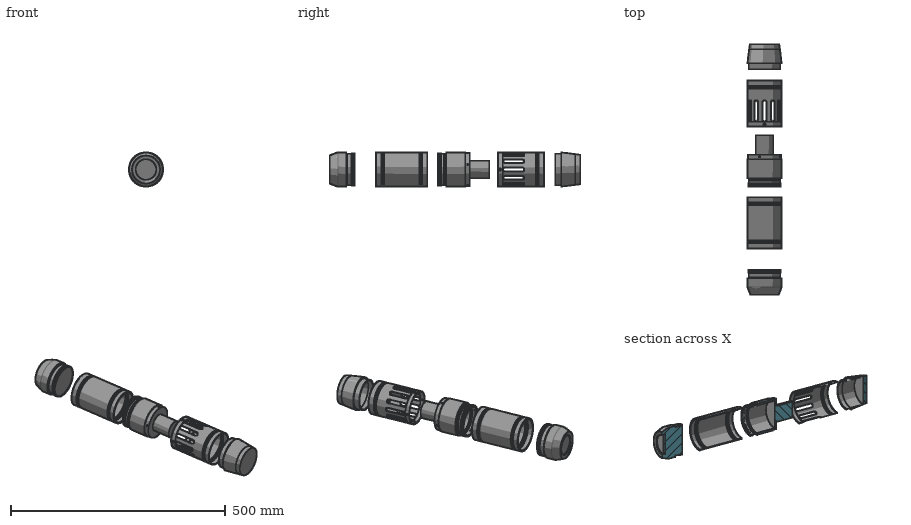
import cadquery as cq


OUTER_DIAMETER = 80.0
OUTER_RADIUS = OUTER_DIAMETER / 2
SPIGOT_RADIUS = 37.0
FLANGE_RADIUS = 38.5
CUT_CLEARANCE = 6.0

THREAD_RADIUS = 38.0
THREAD_LENGTH = 8.0
THREAD_RINGS = 5
THREAD_OFFSET = 12.0

END_RIM_RADIUS = 33.0
END_TAPER_LENGTH = 19.5
END_TAPER_BULGE = 0.5
END_SHOULDER_Y = 39.0
END_RELIEF_WIDTH = 2.0
RELIEF_DEPTH = 0.5
DISH_RADIUS = 31.0
DISH_DEPTH = 1.0

DISC_RADIUS = 24.0
DISC_THICKNESS = 6.0
DISC_RECESS = 3.0

PLAIN_TUBE_Y = 108.5
PLAIN_TUBE_LENGTH = 120.0

CONNECTOR_SHOULDER_Y = 272.5
CONNECTOR_BARREL_LENGTH = 44.0
FLANGE_LENGTH = 11.0
STEM_RADIUS = 20.8
STEM_LENGTH = 45.5
CONNECTOR_BORE_RADIUS = 34.0
CONNECTOR_END_WALL = 6.0
SEAL_RINGS = 2
SEAL_BAND_LENGTH = 6.0
FLANGE_HOLE_DIAMETER = 2.5
FLANGE_HOLE_DEPTH = 3.0
FLANGE_HOLE_OFFSET = 5.0
FLANGE_HOLE_ANGLE = 18

SLOTTED_TUBE_Y = 393.0
SLOTTED_TUBE_LENGTH = 108.0
SLOTTED_BORE_RADIUS = 38.0
SLOT_COUNT = 12
SLOT_WIDTH = 9.0
SLOT_LENGTH = 50.0
SLOT_OFFSET = 12.0
SCREW_HOLE_DIAMETER = 4.0
SCREW_HOLE_OFFSET = 5.0
SCREW_COUNT = 4
INNER_RINGS = 4
INNER_RING_RADIUS = 39.0
INNER_BAND_LENGTH = 7.0
INNER_BAND_OFFSET = 88.0

CAP_SHOULDER_Y = 541.0
CAP_SPIGOT_LENGTH = 14.0
CAP_LENGTH = 45.0
CAP_END_RADIUS = 34.5
CAP_TAPER_BULGE = 0.3
CAP_BORE_RADIUS = 34.5
CAP_END_WALL = 12.0


def cylinder(radius, y_start, length):
    """Solid cylinder on the Y axis, running towards +Y."""
    base = cq.Vector(0, y_start, 0)
    return cq.Workplane(cq.Solid.makeCylinder(radius, length, base, cq.Vector(0, 1, 0)))


def revolve(profile):
    """Turn a closed half profile, drawn as (radius, y), about the Y axis."""
    return profile.close().revolve(360, (0, 0, 0), (0, 1, 0))


def v_rings(root_radius, crest_radius, y_start, length, count):
    """Cylinder whose surface is a row of V-shaped rings, crest_radius at each crest."""
    pitch = length / count
    profile = cq.Workplane("XY").moveTo(0, y_start).lineTo(root_radius, y_start)
    for ring in range(count):
        ring_y = y_start + ring * pitch
        profile = profile.lineTo(crest_radius, ring_y + pitch / 2).lineTo(root_radius, ring_y + pitch)
    return revolve(profile.lineTo(0, y_start + length))


def thread(y_start):
    """Threaded cylinder: male when joined, female when cut."""
    return v_rings(SPIGOT_RADIUS, THREAD_RADIUS, y_start, THREAD_LENGTH, THREAD_RINGS)


def tapered_barrel(end_y, end_radius, taper_y, barrel_y, bulge):
    """Barrel from barrel_y to taper_y, then a bulged taper to the flat end at end_y."""
    middle = ((end_radius + OUTER_RADIUS) / 2 + bulge, (end_y + taper_y) / 2)
    profile = (
        cq.Workplane("XY")
        .moveTo(0, end_y)
        .lineTo(end_radius, end_y)
        .threePointArc(middle, (OUTER_RADIUS, taper_y))
    )
    if barrel_y != taper_y:
        profile = profile.lineTo(OUTER_RADIUS, barrel_y)
    return revolve(profile.lineTo(0, barrel_y))


def around_axis(cutter, count, start_angle=0):
    """Copies of a cutter spaced evenly around the Y axis."""
    copies = cq.Workplane("XY")
    for index in range(count):
        angle = start_angle + index * 360 / count
        copies = copies.add(cutter.rotate((0, 0, 0), (0, 1, 0), angle).val())
    return copies.combine()


def radial_holes(y, diameter, inner_radius, count, start_angle):
    """Cutters for radial holes spaced evenly around the Y axis, the first towards +Z."""
    length = OUTER_RADIUS + CUT_CLEARANCE - inner_radius
    cutter = cq.Workplane("XY", origin=(0, y, inner_radius)).circle(diameter / 2).extrude(length)
    return around_axis(cutter, count, start_angle)


def make_end_cap():
    thread_end = END_SHOULDER_Y + THREAD_OFFSET + THREAD_LENGTH
    cap = tapered_barrel(0, END_RIM_RADIUS, END_TAPER_LENGTH, END_SHOULDER_Y, END_TAPER_BULGE)
    cap = cap.union(cylinder(SPIGOT_RADIUS - RELIEF_DEPTH, END_SHOULDER_Y, END_RELIEF_WIDTH))
    spigot_y = END_SHOULDER_Y + END_RELIEF_WIDTH
    cap = cap.union(cylinder(SPIGOT_RADIUS, spigot_y, THREAD_OFFSET - END_RELIEF_WIDTH))
    cap = cap.union(thread(thread_end - THREAD_LENGTH))
    dish = revolve(
        cq.Workplane("XY").lineTo(DISH_RADIUS, 0).lineTo(DISC_RADIUS, DISH_DEPTH).lineTo(0, DISH_DEPTH)
    )
    seat = cylinder(DISC_RADIUS, DISH_DEPTH, DISC_RECESS + DISC_THICKNESS)
    return cap.cut(dish).cut(seat)


def make_disc():
    return cylinder(DISC_RADIUS, DISH_DEPTH + DISC_RECESS, DISC_THICKNESS)


def make_plain_tube():
    end_y = PLAIN_TUBE_Y + PLAIN_TUBE_LENGTH
    tube = cylinder(OUTER_RADIUS, PLAIN_TUBE_Y, PLAIN_TUBE_LENGTH)
    tube = tube.cut(cylinder(SPIGOT_RADIUS, PLAIN_TUBE_Y, PLAIN_TUBE_LENGTH))
    tube = tube.cut(thread(PLAIN_TUBE_Y + THREAD_OFFSET))
    return tube.cut(thread(end_y - THREAD_OFFSET - THREAD_LENGTH))


def make_connector():
    thread_y = CONNECTOR_SHOULDER_Y - THREAD_OFFSET - THREAD_LENGTH
    seal_y = CONNECTOR_SHOULDER_Y - SEAL_BAND_LENGTH
    flange_y = CONNECTOR_SHOULDER_Y + CONNECTOR_BARREL_LENGTH
    flange_end = flange_y + FLANGE_LENGTH
    body = thread(thread_y)
    body = body.union(cylinder(SPIGOT_RADIUS, thread_y + THREAD_LENGTH, THREAD_OFFSET - SEAL_BAND_LENGTH))
    body = body.union(
        v_rings(SPIGOT_RADIUS - RELIEF_DEPTH, SPIGOT_RADIUS, seal_y, SEAL_BAND_LENGTH, SEAL_RINGS)
    )
    body = body.union(cylinder(OUTER_RADIUS, CONNECTOR_SHOULDER_Y, CONNECTOR_BARREL_LENGTH))
    body = body.union(cylinder(FLANGE_RADIUS, flange_y, FLANGE_LENGTH))
    body = body.union(cylinder(STEM_RADIUS, flange_end, STEM_LENGTH))
    bore_length = flange_end - CONNECTOR_END_WALL - thread_y
    body = body.cut(cylinder(CONNECTOR_BORE_RADIUS, thread_y, bore_length))
    return body.cut(
        radial_holes(
            flange_end - FLANGE_HOLE_OFFSET,
            FLANGE_HOLE_DIAMETER,
            FLANGE_RADIUS - FLANGE_HOLE_DEPTH,
            SCREW_COUNT,
            -FLANGE_HOLE_ANGLE,
        )
    )


def make_slots():
    """Cutters for the round-ended slots around the slotted tube."""
    middle_y = SLOTTED_TUBE_Y + SLOT_OFFSET + SLOT_LENGTH / 2
    slot = (
        cq.Workplane("XY", origin=(0, middle_y, 0))
        .slot2D(SLOT_LENGTH, SLOT_WIDTH, 90)
        .extrude(OUTER_RADIUS + CUT_CLEARANCE)
    )
    return around_axis(slot, SLOT_COUNT)


def make_slotted_tube():
    tube = cylinder(OUTER_RADIUS, SLOTTED_TUBE_Y, SLOTTED_TUBE_LENGTH)
    tube = tube.cut(cylinder(SLOTTED_BORE_RADIUS, SLOTTED_TUBE_Y, SLOTTED_TUBE_LENGTH))
    tube = tube.cut(cylinder(FLANGE_RADIUS, SLOTTED_TUBE_Y, FLANGE_LENGTH))
    band_y = SLOTTED_TUBE_Y + INNER_BAND_OFFSET
    tube = tube.cut(
        v_rings(SLOTTED_BORE_RADIUS, INNER_RING_RADIUS, band_y, INNER_BAND_LENGTH, INNER_RINGS)
    )
    tube = tube.cut(make_slots())
    return tube.cut(
        radial_holes(SLOTTED_TUBE_Y + SCREW_HOLE_OFFSET, SCREW_HOLE_DIAMETER, 0, SCREW_COUNT, 0)
    )


def make_tapered_cap():
    spigot_y = CAP_SHOULDER_Y - CAP_SPIGOT_LENGTH
    end_y = CAP_SHOULDER_Y + CAP_LENGTH
    cap = tapered_barrel(end_y, CAP_END_RADIUS, CAP_SHOULDER_Y, CAP_SHOULDER_Y, CAP_TAPER_BULGE)
    cap = cap.union(cylinder(SPIGOT_RADIUS, spigot_y, CAP_SPIGOT_LENGTH))
    return cap.cut(cylinder(CAP_BORE_RADIUS, spigot_y, end_y - CAP_END_WALL - spigot_y))


end_cap = make_end_cap()
disc = make_disc()
plain_tube = make_plain_tube()
connector = make_connector()
slotted_tube = make_slotted_tube()
tapered_cap = make_tapered_cap()

result = cq.Compound.makeCompound(
    [
        end_cap.val(),
        disc.val(),
        plain_tube.val(),
        connector.val(),
        slotted_tube.val(),
        tapered_cap.val(),
    ]
)